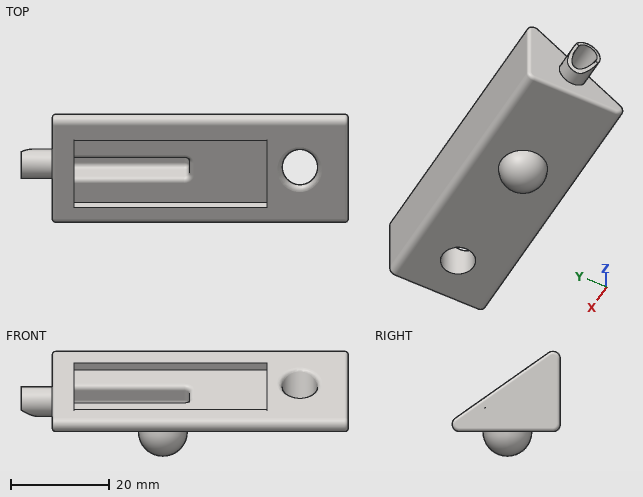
import cadquery as cq
import math

body_length = 60.35
body_depth = 22.1
body_height = 16.4
edge_radius = 1.55
end_radius = 0.75

peg_length = 6.35
peg_diameter = 6.1
bore_diameter = 4.6
ramp_length = 3.5
ramp_angle = 37.0
ramp_foot_radius = 1.7
peg_y = 11.95
peg_z = 6.15

pocket_start = 4.5
pocket_length = 39.35
pocket_low_y = 3.1
pocket_high_y = 16.7
pocket_depth = 1.8

slot_end = 28.95
slot_width = 5.0
slot_depth = 4.4
slot_radius = 1.0

hole_diameter = 7.15
hole_x = 50.5
hole_mouth_radius = 1.0
ball_radius = 5.0
ball_x = 22.55
fitting_y = 11.3

slope = math.atan2(body_height - 2 * edge_radius, body_depth - 2 * edge_radius)
face_y = edge_radius * (1 - math.sin(slope))
face_z = edge_radius * (1 + math.cos(slope))

slope_plane = cq.Plane(
    origin=(0, face_y, face_z),
    xDir=(1, 0, 0),
    normal=(0, -math.sin(slope), math.cos(slope)),
)
peg_local = slope_plane.toLocalCoords(cq.Vector(0, peg_y, peg_z))
slot_low = peg_local.y - slot_width / 2
slot_high = peg_local.y + slot_width / 2


def make_body():
    """Triangle of rounding centres, grown by the edge radius and rounded at both ends."""
    near = edge_radius
    back = body_depth - edge_radius
    top = body_height - edge_radius
    wedge = (
        cq.Workplane("YZ")
        .polyline([(near, near), (back, near), (back, top)])
        .close()
        .offset2D(edge_radius, "arc")
        .extrude(body_length)
    )
    return wedge.faces("<X or >X").edges().fillet(end_radius)


def slope_box(start, end, low, high, top, bottom):
    """Box in the axes of the sloping face."""
    return (
        cq.Workplane(slope_plane)
        .workplane(offset=bottom)
        .center((start + end) / 2, (low + high) / 2)
        .rect(end - start, high - low)
        .extrude(top - bottom)
    )


def make_pocket():
    low = (pocket_low_y - face_y) / math.cos(slope)
    high = (pocket_high_y - face_y) / math.cos(slope)
    return slope_box(pocket_start, pocket_start + pocket_length, low, high, edge_radius, -pocket_depth)


def make_slot_block(bottom):
    """Block between the slot walls, rounded in plan and reaching past the pocket's -X end."""
    start = pocket_start - slot_width
    end = slot_end - slot_radius
    block = slope_box(start, end, slot_low, slot_high, -pocket_depth, bottom)
    return block.edges(cq.selectors.ParallelDirSelector(slope_plane.zDir)).fillet(slot_radius)


def make_slot():
    """Slot rounded along its floor and in its far corners, starting at the pocket's -X end."""
    floor = -pocket_depth - slot_depth
    block = make_slot_block(floor)
    block = block.faces(cq.selectors.DirectionMinMaxSelector(slope_plane.zDir, False)).edges()
    block = block.fillet(slot_radius)
    trim = slope_box(pocket_start, slot_end, slot_low, slot_high, -pocket_depth, floor)
    return block.intersect(trim)


def make_slot_lip():
    """Material removed where the slot walls round over into the pocket floor."""
    bottom = -pocket_depth - 2 * slot_radius
    margin = 2 * slot_width
    slab = slope_box(
        pocket_start - margin,
        slot_end + margin,
        slot_low - margin,
        slot_high + margin,
        -pocket_depth,
        bottom,
    )
    rim_slab = slab.cut(make_slot_block(bottom))
    rims = rim_slab.faces(cq.selectors.DirectionMinMaxSelector(slope_plane.zDir, True)).wires()
    slot_rim = min(rims.vals(), key=lambda wire: wire.Length())
    rounded_slab = rim_slab.newObject(slot_rim.Edges()).fillet(slot_radius)
    trim = slope_box(
        pocket_start,
        slot_end,
        slot_low - slot_radius,
        slot_high + slot_radius,
        -pocket_depth,
        bottom,
    )
    return trim.cut(rounded_slab)


def make_peg():
    """Round peg whose tip is cut back, on the side away from the sloping face, by a rounded ramp."""
    radius = peg_diameter / 2
    root = 2 * end_radius
    peg = (
        cq.Workplane("YZ", origin=(-peg_length, 0, 0))
        .center(peg_y, peg_z)
        .circle(radius)
        .extrude(peg_length + root)
    )
    profile_plane = cq.Plane(
        origin=(-peg_length, peg_y, peg_z),
        xDir=(1, 0, 0),
        normal=(-slope_plane.yDir).toTuple(),
    )
    ramp_drop = ramp_length * math.tan(math.radians(ramp_angle))
    ramp = (
        cq.Workplane(profile_plane)
        .polyline([
            (-peg_diameter, 0),
            (0, 0),
            (ramp_length, -ramp_drop),
            (ramp_length, -peg_diameter),
            (-peg_diameter, -peg_diameter),
        ])
        .close()
        .extrude(peg_diameter, both=True)
    )
    across = cq.selectors.ParallelDirSelector(slope_plane.yDir)
    foot = profile_plane.toWorldCoords((ramp_length, -ramp_drop))
    ramp = ramp.edges(across).edges(cq.selectors.NearestToPointSelector(foot.toTuple()))
    return peg.cut(ramp.fillet(ramp_foot_radius))


def make_bore():
    return (
        cq.Workplane("YZ", origin=(-peg_length, 0, 0))
        .center(peg_y, peg_z)
        .circle(bore_diameter / 2)
        .extrude(peg_length + pocket_start)
    )


def make_ball():
    return cq.Workplane("XY").sphere(ball_radius).translate((ball_x, fitting_y, 0))


def cut_hole(part):
    """Vertical through hole, rounded where it leaves the sloping face."""
    drill = cq.Workplane("XY").center(hole_x, fitting_y).circle(hole_diameter / 2).extrude(body_height)
    part = part.cut(drill)
    half = hole_diameter / 2 + end_radius
    mouth = cq.selectors.BoxSelector(
        (hole_x - half, fitting_y - half, edge_radius), (hole_x + half, fitting_y + half, body_height)
    )
    return part.edges(mouth).edges("not %LINE").fillet(hole_mouth_radius)


result = (
    cut_hole(make_body())
    .union(make_ball())
    .union(make_peg())
    .cut(make_bore())
    .cut(make_pocket())
    .cut(make_slot())
    .cut(make_slot_lip())
)